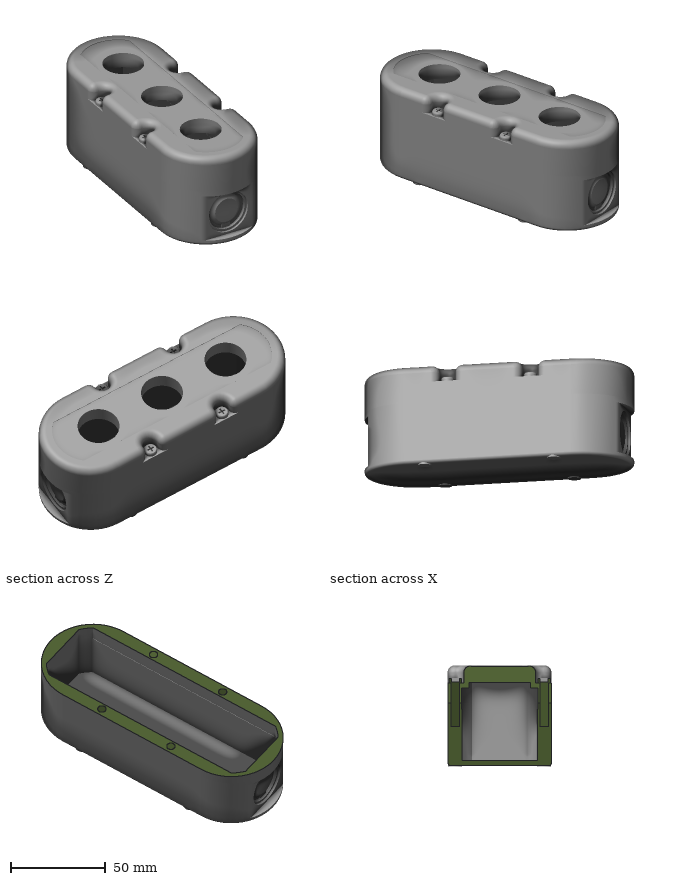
import cadquery as cq
import math

LENGTH = 145.0
WIDTH = 55.0
TOP_Z = 53.0
COVER_HEIGHT = 20.0
SEAM_Z = TOP_Z - COVER_HEIGHT
END_RADIUS = WIDTH / 2
END_CENTER_X = LENGTH / 2 - END_RADIUS

DECK_THICKNESS = 9.0
DECK_BOTTOM_Z = TOP_Z - DECK_THICKNESS
COVER_ROUNDING = 3.9
BUTTON_HOLE_DIAMETER = 22.2
BUTTON_PITCH = 40.0
LABEL_HALF_WIDTH = 15.0
LABEL_END_RADIUS = 20.5
LABEL_DEPTH = 0.3

SCREW_X = 22.5
SCREW_Y = 23.5
SCREW_POINTS = [(sx * SCREW_X, sy * SCREW_Y) for sx in (-1, 1) for sy in (-1, 1)]
NOTCH_RADIUS = 4.4
NOTCH_PAD_RADIUS = 7.2
NOTCH_PAD_THICKNESS = 3.0
HEAD_RADIUS = 3.5
HEAD_TOP_RADIUS = 3.0
HEAD_RIM_HEIGHT = 0.9
HEAD_HEIGHT = 2.3
CROSS_LENGTH = 3.9
CROSS_WIDTH = 0.9
CROSS_DEPTH = 1.7
SHANK_RADIUS = 2.0
SHANK_LENGTH = 23.2

CAVITY_HALF_WIDTH = 20.0
CAVITY_END_RADIUS = 24.5
CAVITY_HALF_LENGTH = 64.7
FLOOR_THICKNESS = 3.0
LOWER_STEP = 0.1
LOWER_CORNER_RADIUS = 2.2

BASE_ROUNDING = 1.7
RECESS_DEPTH = 4.2
RECESS_BOTTOM_Z = 3.0
RECESS_TOP_Z = 30.0
RECESS_EDGE_RADIUS = 4.6
FLAT_X = LENGTH / 2 - RECESS_DEPTH

KNOCKOUT_Z = (RECESS_BOTTOM_Z + RECESS_TOP_Z) / 2
OUTER_STEP_RADIUS = 12.2
OUTER_STEP_DEPTH = 1.3
INNER_STEP_RADIUS = 10.9
INNER_STEP_DEPTH = 3.0
PLUG_BASE_RADIUS = 9.4
PLUG_TOP_RADIUS = 7.0
PLUG_HEIGHT = 1.5
TAB_WIDTH = 5.0
TAB_REACH = 10.5
TAB_HEIGHT = 0.7

FOOT_X = 35.1
FOOT_Y = 23.5
FOOT_RADIUS = 3.6
FOOT_HEIGHT = 0.5


def rounded_bar(end_radius, z_bottom, z_top):
    """Bar with half-round ends, centred on the end centres of the case."""
    return (
        cq.Workplane("XY", origin=(0, 0, z_bottom))
        .slot2D(2 * (END_CENTER_X + end_radius), 2 * end_radius)
        .extrude(z_top - z_bottom)
    )


def block(half_length, half_width, z_bottom, z_top):
    height = z_top - z_bottom
    return (
        cq.Workplane("XY", origin=(0, 0, z_bottom))
        .box(2 * half_length, 2 * half_width, height, centered=(True, True, False))
    )


def flat_sided_bar(end_radius, half_width, z_bottom, z_top):
    """Rounded bar narrowed to flat long sides; its ends keep their radius."""
    bar = rounded_bar(end_radius, z_bottom, z_top)
    return bar.intersect(block(LENGTH, half_width, z_bottom, z_top))


def cylinders(points, radius, z_bottom, z_top):
    return (
        cq.Workplane("XY", origin=(0, 0, z_bottom))
        .pushPoints(points)
        .circle(radius)
        .extrude(z_top - z_bottom)
    )


def make_notch(x, y):
    """Round-backed notch that opens through the long side, flaring towards the outside."""
    side = math.copysign(1, y)
    wall_y = side * WIDTH / 2
    flare_radius = abs(wall_y - y)
    mouth = NOTCH_RADIUS + flare_radius
    arc_x = mouth - flare_radius * math.cos(math.pi / 4)
    arc_y = y + side * flare_radius * math.sin(math.pi / 4)
    return (
        cq.Workplane("XY", origin=(x, 0, DECK_BOTTOM_Z))
        .moveTo(-mouth, wall_y)
        .threePointArc((-arc_x, arc_y), (-NOTCH_RADIUS, y))
        .threePointArc((0, y - side * NOTCH_RADIUS), (NOTCH_RADIUS, y))
        .threePointArc((arc_x, arc_y), (mouth, wall_y))
        .close()
        .extrude(DECK_THICKNESS)
    )


def cavity_space(inset, z_bottom, z_top, corner_radius=0):
    """Inner space whose long walls stand in by the inset, with flat ends cut off the round ones."""
    space = flat_sided_bar(CAVITY_END_RADIUS, CAVITY_HALF_WIDTH - inset, z_bottom, z_top)
    if corner_radius:
        space = space.edges("|Z").fillet(corner_radius)
    return space.intersect(block(CAVITY_HALF_LENGTH, WIDTH, z_bottom, z_top))


def make_cover():
    cover = rounded_bar(END_RADIUS, SEAM_Z, TOP_Z)
    for x, y in SCREW_POINTS:
        cover = cover.cut(make_notch(x, y))
    cover = cover.faces(">Z").edges().fillet(COVER_ROUNDING)

    cavity = cavity_space(0, SEAM_Z, DECK_BOTTOM_Z)
    pad_bottom_z = DECK_BOTTOM_Z - NOTCH_PAD_THICKNESS
    cavity = cavity.cut(cylinders(SCREW_POINTS, NOTCH_PAD_RADIUS, pad_bottom_z, DECK_BOTTOM_Z))
    cover = cover.cut(cavity)

    label = flat_sided_bar(LABEL_END_RADIUS, LABEL_HALF_WIDTH, TOP_Z - LABEL_DEPTH, TOP_Z)
    button_points = [(i * BUTTON_PITCH, 0) for i in (-1, 0, 1)]
    buttons = cylinders(button_points, BUTTON_HOLE_DIAMETER / 2, SEAM_Z, TOP_Z)
    screw_holes = cylinders(SCREW_POINTS, SHANK_RADIUS, SEAM_Z, DECK_BOTTOM_Z)
    return cover.cut(label).cut(buttons).cut(screw_holes)


def make_end_recess():
    """Material removed at both ends to leave flat faces with rounded upright edges."""
    band = rounded_bar(END_RADIUS, RECESS_BOTTOM_Z, RECESS_TOP_Z)
    core = band.intersect(block(FLAT_X, WIDTH, RECESS_BOTTOM_Z, RECESS_TOP_Z))
    flat_edges = core.faces("<X or >X").edges("|Z")
    return band.cut(flat_edges.fillet(RECESS_EDGE_RADIUS))


def knockout_disc(radius, depth):
    """Disc at the -X end, reaching inward from the flat face."""
    return cq.Workplane("YZ", origin=(-FLAT_X, 0, KNOCKOUT_Z)).circle(radius).extrude(depth)


def make_knockout():
    """Stepped bore at the -X end that leaves a tapered plug and a tab inside it."""
    bore = knockout_disc(OUTER_STEP_RADIUS, OUTER_STEP_DEPTH)
    bore = bore.union(knockout_disc(INNER_STEP_RADIUS, INNER_STEP_DEPTH))
    floor_x = -FLAT_X + INNER_STEP_DEPTH
    plug = cq.Workplane(
        cq.Solid.makeCone(
            PLUG_BASE_RADIUS, PLUG_TOP_RADIUS, PLUG_HEIGHT,
            pnt=cq.Vector(floor_x, 0, KNOCKOUT_Z), dir=cq.Vector(-1, 0, 0),
        )
    )
    tab = (
        cq.Workplane("XY", origin=(floor_x, 0, KNOCKOUT_Z))
        .box(TAB_HEIGHT, TAB_WIDTH, TAB_REACH, centered=False)
        .translate((-TAB_HEIGHT, -TAB_WIDTH / 2, -TAB_REACH))
    )
    return bore.cut(plug).cut(tab)


def make_base():
    base = rounded_bar(END_RADIUS, 0, SEAM_Z).faces("<Z").edges().fillet(BASE_ROUNDING)
    foot_points = [(sx * FOOT_X, sy * FOOT_Y) for sx in (-1, 1) for sy in (-1, 1)]
    base = base.union(cylinders(foot_points, FOOT_RADIUS, -FOOT_HEIGHT, BASE_ROUNDING))
    base = base.cut(make_end_recess())

    upper = cavity_space(0, RECESS_TOP_Z, SEAM_Z)
    lower = cavity_space(LOWER_STEP, FLOOR_THICKNESS, RECESS_TOP_Z, LOWER_CORNER_RADIUS)
    base = base.cut(upper).cut(lower)

    knockout = make_knockout()
    base = base.cut(knockout).cut(knockout.mirror("YZ"))
    shank_end_z = DECK_BOTTOM_Z - SHANK_LENGTH
    return base.cut(cylinders(SCREW_POINTS, SHANK_RADIUS, shank_end_z, SEAM_Z))


def make_screw(x, y):
    """Cross-recessed screw whose rounded head rests on the notch floor."""
    rounding = HEAD_RADIUS - HEAD_TOP_RADIUS
    crown = HEAD_HEIGHT - HEAD_RIM_HEIGHT
    bulge_x = HEAD_TOP_RADIUS + rounding * math.cos(math.pi / 4)
    bulge_z = HEAD_RIM_HEIGHT + crown * math.sin(math.pi / 4)
    screw = (
        cq.Workplane("XZ")
        .moveTo(0, -SHANK_LENGTH)
        .lineTo(SHANK_RADIUS, -SHANK_LENGTH)
        .lineTo(SHANK_RADIUS, 0)
        .lineTo(HEAD_RADIUS, 0)
        .lineTo(HEAD_RADIUS, HEAD_RIM_HEIGHT)
        .threePointArc((bulge_x, bulge_z), (HEAD_TOP_RADIUS, HEAD_HEIGHT))
        .lineTo(0, HEAD_HEIGHT)
        .close()
        .revolve(360, (0, 0, 0), (0, 1, 0))
    )
    arm = cq.Workplane("XY", origin=(0, 0, HEAD_HEIGHT - CROSS_DEPTH))
    for size_x, size_y in ((CROSS_LENGTH, CROSS_WIDTH), (CROSS_WIDTH, CROSS_LENGTH)):
        screw = screw.cut(arm.rect(size_x, size_y).extrude(CROSS_DEPTH))
    return screw.translate((x, y, DECK_BOTTOM_Z))


cover = make_cover()
base = make_base()
screws = [make_screw(x, y) for x, y in SCREW_POINTS]

result = cq.Compound.makeCompound([cover.val(), base.val(), *[screw.val() for screw in screws]])